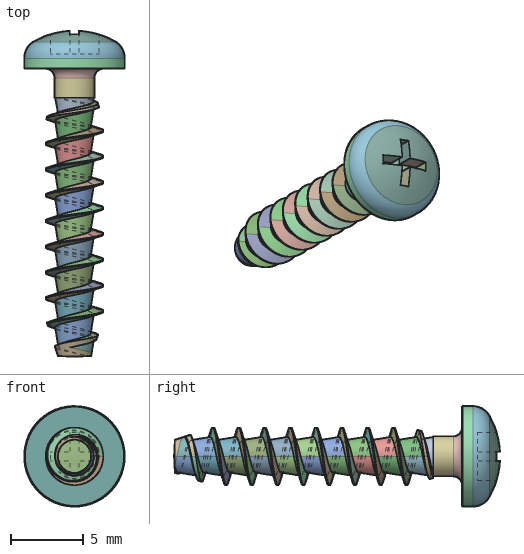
import cadquery as cq
import math


head_radius = 3.5
head_height = 2.65
head_rim_height = 0.75
head_rim_edge = 0.06
crown_radius = 5.67
shoulder_radius = 1.31

recess_arm_length = 1.67
recess_arm_width = 0.63
recess_depth = 1.6

recess_corner_radius = recess_arm_width / math.sqrt(2)
corner_drop = crown_radius - math.sqrt(crown_radius**2 - recess_corner_radius**2)
crown_top = head_height + corner_drop

shank_length = 20.0
shank_radius = 1.4
neck_fillet = 0.6
plain_length = 2.0
tip_cone_height = 0.06

thread_radius = 2.0
thread_start_radius = 1.52
thread_tip_radius = 1.15
lead_in_length = 1.6
tip_taper_length = 2.6
pitch = 1.79
crest_width = 0.08
flank_slope = math.tan(math.radians(15))
first_crest_y = -2.51

root_radius_small = 1.14
root_radius_large = 1.35
root_cone_length = 1.2
groove_outer_radius = thread_radius + 0.1

thread_end = -plain_length
tip = -shank_length


def revolve_about_axis(profile):
    """Close a half profile drawn in the XY plane and revolve it about the screw axis."""
    return profile.close().revolve(360, (0, 0, 0), (0, 1, 0))


def make_head():
    """Domed head: straight rim, rounded shoulder and a shallow spherical crown, all tangent."""
    crown_center = crown_top - crown_radius
    shoulder_center = head_radius - shoulder_radius
    tilt = math.atan2(shoulder_center, head_rim_height - crown_center)
    joint = (crown_radius * math.sin(tilt), crown_center + crown_radius * math.cos(tilt))
    shoulder_mid_angle = (math.pi / 2 - tilt) / 2
    shoulder_mid = (
        shoulder_center + shoulder_radius * math.cos(shoulder_mid_angle),
        head_rim_height + shoulder_radius * math.sin(shoulder_mid_angle),
    )
    crown_mid = (
        crown_radius * math.sin(tilt / 2),
        crown_center + crown_radius * math.cos(tilt / 2),
    )
    return revolve_about_axis(
        cq.Workplane("XY")
        .lineTo(head_radius - head_rim_edge, 0)
        .lineTo(head_radius, head_rim_edge)
        .lineTo(head_radius, head_rim_height)
        .threePointArc(shoulder_mid, joint)
        .threePointArc(crown_mid, (0, crown_top))
    )


def make_recess():
    """Cross-shaped cutter sunk into the crown, with one arm pair along X and one along Z."""
    recess_middle = (0, crown_top - recess_depth / 2, 0)
    arm_span = 2 * recess_arm_length
    arm_x = cq.Workplane("XY").box(arm_span, recess_depth, recess_arm_width)
    arm_z = cq.Workplane("XY").box(recess_arm_width, recess_depth, arm_span)
    return arm_x.union(arm_z).translate(recess_middle)


def make_plain_shank():
    """Unthreaded neck, flared into the head, with a cone leading into the thread root."""
    flare = neck_fillet * (1 - math.sqrt(0.5))
    return revolve_about_axis(
        cq.Workplane("XY")
        .lineTo(shank_radius + neck_fillet, 0)
        .threePointArc((shank_radius + flare, -flare), (shank_radius, -neck_fillet))
        .lineTo(shank_radius, thread_end)
        .lineTo(root_radius_large, thread_end)
        .lineTo(root_radius_small, thread_end - root_cone_length)
        .lineTo(0, thread_end - root_cone_length)
    )


def make_thread_blank():
    """Envelope of the thread crests: a cylinder tapered at both ends, with a shallow cone at the tip."""
    return revolve_about_axis(
        cq.Workplane("XY")
        .moveTo(0, thread_end)
        .lineTo(thread_start_radius, thread_end)
        .lineTo(thread_radius, thread_end - lead_in_length)
        .lineTo(thread_radius, tip + tip_taper_length)
        .lineTo(thread_tip_radius, tip + tip_cone_height)
        .lineTo(0, tip)
    )


def flank_offset(radius):
    """Axial distance from the middle of a crest to its flank at the given radius."""
    return crest_width / 2 + (thread_radius - radius) * flank_slope


def make_groove_turn(crest_y):
    """One right-handed turn of the groove above the crest that crosses the +X side at crest_y.

    It is built about Z from ruled faces between its four corner helices, then laid along Y.
    """
    corners = [
        (groove_outer_radius, flank_offset(groove_outer_radius)),
        (root_radius_small, flank_offset(root_radius_small)),
        (root_radius_large, pitch - flank_offset(root_radius_large)),
        (groove_outer_radius, pitch - flank_offset(groove_outer_radius)),
    ]
    helices = [cq.Wire.makeHelix(pitch, pitch, radius, cq.Vector(0, 0, height)) for radius, height in corners]
    faces = [
        cq.Face.makeRuledSurface(helix, next_helix)
        for helix, next_helix in zip(helices, helices[1:] + helices[:1])
    ]
    for end_height in (0, pitch):
        outline = [cq.Vector(radius, 0, height + end_height) for radius, height in corners]
        faces.append(cq.Face.makeFromWires(cq.Wire.makePolygon(outline, close=True)))
    turn = cq.Workplane(obj=cq.Solid.makeSolid(cq.Shell.makeShell(faces)))
    return turn.rotate((0, 0, 0), (1, 0, 0), -90).translate((0, crest_y, 0))


def make_threaded_shank():
    """Thread envelope with the groove cut out turn by turn, from above its start to below the tip."""
    shank = make_thread_blank()
    crest_y = first_crest_y + pitch
    while crest_y > tip - 2 * pitch:
        shank = shank.cut(make_groove_turn(crest_y))
        crest_y -= pitch
    return shank


head = make_head().cut(make_recess())
result = head.union(make_plain_shank()).union(make_threaded_shank())